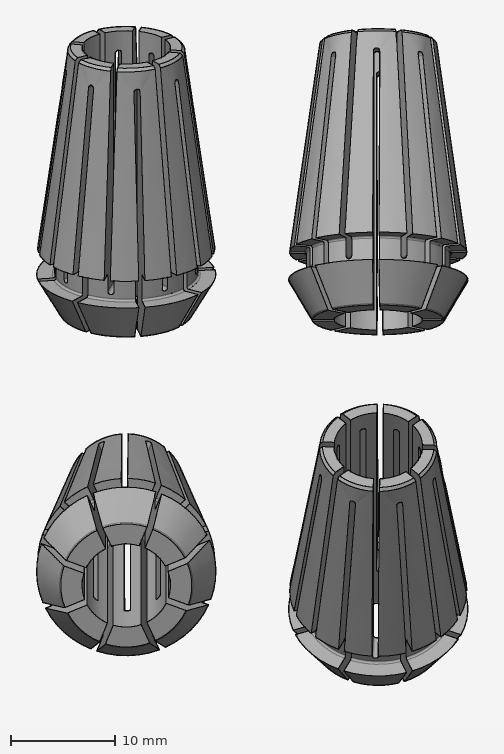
import cadquery as cq
import math

height = 27.5
bore_diameter = 8.5

flange_height = 3.95
flange_bottom_radius = 6.4
flange_bottom_chamfer = 0.1
outer_width = 17.25

neck_radius = 6.9
neck_fillet = 0.22
cone_base_z = 6.68

cone_base_radius = 8.52
cone_top_radius = 5.65
top_chamfer = 0.28

slot_count = 8
slot_pitch = 360.0 / slot_count
slot_width = 0.6
lower_slot_top_z = 25.5
upper_slot_bottom_z = 4.6
slot_overrun = 1.38

flange_rim_radius = math.hypot(outer_width / 2, slot_width / 2)


def collet_body():
    """Revolve the half section between the bore and the outer surface."""
    bore_radius = bore_diameter / 2
    chamfer_base_z = height - top_chamfer
    fillet_radius = neck_radius + neck_fillet
    half_section = (
        cq.Workplane("XZ")
        .moveTo(bore_radius, 0)
        .lineTo(flange_bottom_radius - flange_bottom_chamfer, 0)
        .lineTo(flange_bottom_radius, flange_bottom_chamfer)
        .lineTo(flange_rim_radius, flange_height)
        .lineTo(fillet_radius, flange_height)
        .radiusArc((neck_radius, flange_height + neck_fillet), neck_fillet)
        .lineTo(neck_radius, cone_base_z - neck_fillet)
        .radiusArc((fillet_radius, cone_base_z), neck_fillet)
        .lineTo(cone_base_radius, cone_base_z)
        .lineTo(cone_top_radius, chamfer_base_z)
        .lineTo(cone_top_radius - top_chamfer, height)
        .lineTo(bore_radius, height)
        .close()
    )
    return half_section.revolve(360, (0, 0, 0), (0, 1, 0))


def slot_cutter(open_z, closed_z, angle):
    """Radial slot from the axis outward, with a full round at its closed end."""
    half_width = slot_width / 2
    direction = 1 if closed_z > open_z else -1
    round_start_z = closed_z - direction * half_width
    profile = (
        cq.Workplane("YZ")
        .moveTo(-half_width, open_z)
        .lineTo(-half_width, round_start_z)
        .threePointArc((0, closed_z), (half_width, round_start_z))
        .lineTo(half_width, open_z)
        .close()
    )
    cutter = profile.extrude(flange_rim_radius + slot_overrun)
    return cutter.rotate((0, 0, 0), (0, 0, 1), angle)


result = collet_body()
for index in range(slot_count):
    lower_angle = index * slot_pitch
    upper_angle = lower_angle + slot_pitch / 2
    result = result.cut(slot_cutter(-slot_overrun, lower_slot_top_z, lower_angle))
    result = result.cut(slot_cutter(height + slot_overrun, upper_slot_bottom_z, upper_angle))